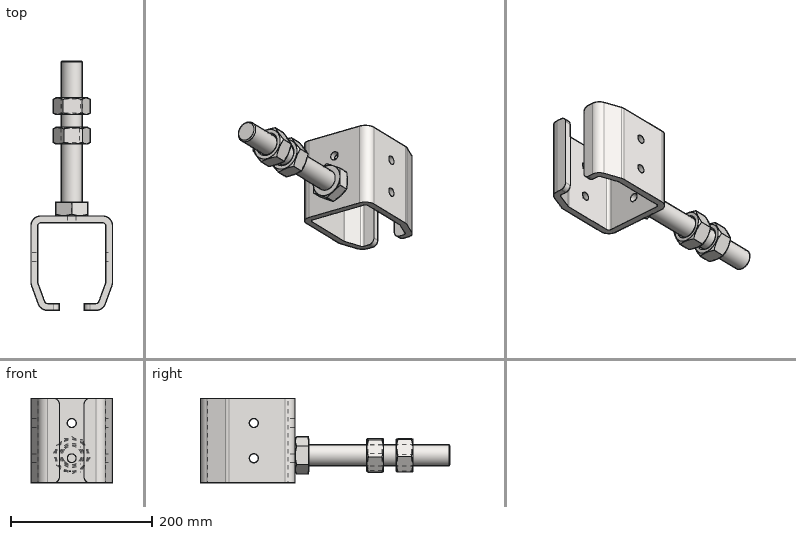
import cadquery as cq
import math

TOTAL_LENGTH = 353.8

HOUSING_WIDTH = 116.0
HOUSING_DEPTH = 134.0
HOUSING_HEIGHT = 120.0
WALL = 10.0
BEND_RADIUS = 14.5
STRAIGHT_DEPTH = 96.2
TAPER_ANGLE = 20
MOUTH_WIDTH = 35.0
LIP_CORNER_RADIUS = 8.5
HOLE_DIAMETER = 12.5
HOLE_PITCH = 50.0
SIDE_HOLE_DEPTH = 58.5

BOLT_Z = -21.0
BOLT_DIAMETER = 30.0
BOLT_LENGTH = TOTAL_LENGTH - HOUSING_DEPTH
TIP_CHAMFER = 1.8
HEX_FLATS = 46.0
HEX_CORNERS = HEX_FLATS / math.cos(math.radians(30))
HEX_FACE_DIAMETER = 44.5
HEX_CHAMFER_ANGLE = 30
HEAD_HEIGHT = 18.7
WASHER_FACE_HEIGHT = 0.7
WASHER_FACE_DIAMETER = HEX_FLATS
NUT_HEIGHT = 24.0
NUT_COUNTERSINK = 2.0
FLAT_UP_TURN = 30
NUT_PLACES = [(101.5, 5.2), (143.3, 2.8)]


def make_prism(inset):
    """Full-height block with the housing outline, moved inwards by the inset and rounded at the bends."""
    half_width = HOUSING_WIDTH / 2
    taper_inset = (HOUSING_DEPTH - STRAIGHT_DEPTH) * math.tan(math.radians(TAPER_ANGLE))
    half_front = half_width - taper_inset
    return (
        cq.Workplane("XY")
        .polyline([
            (-half_width, 0),
            (half_width, 0),
            (half_width, -STRAIGHT_DEPTH),
            (half_front, -HOUSING_DEPTH),
            (-half_front, -HOUSING_DEPTH),
            (-half_width, -STRAIGHT_DEPTH),
        ])
        .close()
        .offset2D(-inset)
        .extrude(HOUSING_HEIGHT / 2, both=True)
        .edges("|Z")
        .fillet(BEND_RADIUS - inset)
    )


def make_housing():
    channel = make_prism(0).cut(make_prism(WALL))
    return channel.cut(make_mouth()).cut(make_hole_tools())


def make_mouth():
    """Opening between the two lips, flared by the rounded lip corners at its ends."""
    half_mouth = MOUTH_WIDTH / 2
    half_height = HOUSING_HEIGHT / 2
    radius = LIP_CORNER_RADIUS
    flared = half_mouth + radius
    shoulder = half_height - radius
    return (
        cq.Workplane("XZ", origin=(0, -HOUSING_DEPTH, 0))
        .moveTo(-flared, half_height)
        .lineTo(flared, half_height)
        .radiusArc((half_mouth, shoulder), -radius)
        .lineTo(half_mouth, -shoulder)
        .radiusArc((flared, -half_height), -radius)
        .lineTo(-flared, -half_height)
        .radiusArc((-half_mouth, -shoulder), -radius)
        .lineTo(-half_mouth, shoulder)
        .radiusArc((-flared, half_height), -radius)
        .close()
        .extrude(-WALL)
    )


def make_hole_tools():
    """Cylinders for two holes in the back wall and two through both sides."""
    levels = [(0, -HOLE_PITCH / 2), (0, HOLE_PITCH / 2)]
    back = (
        cq.Workplane("XZ")
        .pushPoints(levels)
        .circle(HOLE_DIAMETER / 2)
        .extrude(WALL)
    )
    sides = (
        cq.Workplane("YZ", origin=(0, -SIDE_HOLE_DEPTH, 0))
        .pushPoints(levels)
        .circle(HOLE_DIAMETER / 2)
        .extrude(HOUSING_WIDTH / 2, both=True)
    )
    return back.union(sides)


def along_y(y):
    """Workplane on the bolt axis at the given Y, extruding towards +Y, local X along +Z."""
    return cq.Workplane(cq.Plane(origin=(0, y, BOLT_Z), xDir=(0, 0, 1), normal=(0, 1, 0)))


def make_hex(height, chamfer_far_end):
    """Hexagon along +Z from Z = 0, corners on X, ends turned down to the face circle."""
    face_radius = HEX_FACE_DIAMETER / 2
    corner_radius = HEX_CORNERS / 2
    drop = (corner_radius - face_radius) * math.tan(math.radians(HEX_CHAMFER_ANGLE))
    turned = cq.Workplane("XZ").lineTo(face_radius, 0).lineTo(corner_radius, drop)
    if chamfer_far_end:
        turned = turned.lineTo(corner_radius, height - drop).lineTo(face_radius, height)
    else:
        turned = turned.lineTo(corner_radius, height)
    turned = turned.lineTo(0, height).close().revolve(360, (0, 0), (0, 1))
    return cq.Workplane("XY").polygon(6, HEX_CORNERS).extrude(height).intersect(turned)


def place_on_axis(body, y, turn):
    """Turn a body about Z, then lay its Z axis along the bolt axis with its base at the given Y."""
    plane = along_y(y).plane
    turned = body.rotate((0, 0, 0), (0, 0, 1), turn)
    return turned.val().moved(cq.Location(plane))


def make_bolt():
    head = make_hex(HEAD_HEIGHT, chamfer_far_end=False)
    washer_face = (
        cq.Workplane("XY", origin=(0, 0, HEAD_HEIGHT))
        .circle(WASHER_FACE_DIAMETER / 2)
        .extrude(WASHER_FACE_HEIGHT)
    )
    shank = (
        cq.Workplane("XY")
        .circle(BOLT_DIAMETER / 2)
        .extrude(BOLT_LENGTH)
        .faces(">Z")
        .chamfer(TIP_CHAMFER)
    )
    return place_on_axis(head.union(washer_face).union(shank), y=0, turn=0)


def make_nut(y, turn):
    blank = make_hex(NUT_HEIGHT, chamfer_far_end=True)
    nut = (
        blank.faces(">Z")
        .workplane(origin=(0, 0, 0))
        .hole(BOLT_DIAMETER)
        .edges(cq.selectors.RadiusNthSelector(0))
        .chamfer(NUT_COUNTERSINK)
    )
    return place_on_axis(nut, y, turn + FLAT_UP_TURN)


housing = make_housing()
bolt = make_bolt()
nuts = [make_nut(y, turn) for y, turn in NUT_PLACES]

result = cq.Compound.makeCompound([housing.val(), bolt, *nuts])